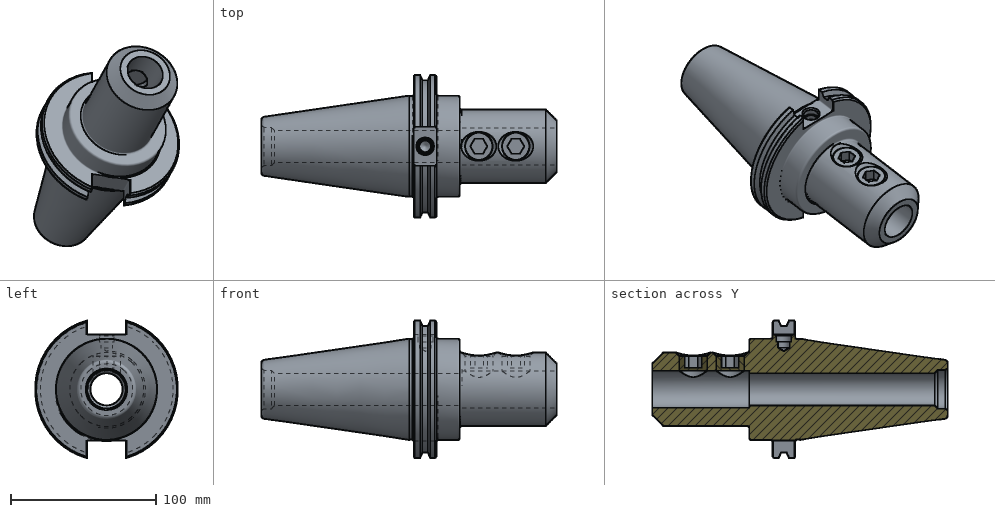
import cadquery as cq
import math


taper_length = 101.6
gauge_diameter = 69.85
taper_ratio = 7 / 24
small_end_diameter = gauge_diameter - taper_length * taper_ratio
small_end_rounding = 2.5
relief_diameter = 69.34

flange_front = 3.175
flange_back = 19.05
flange_diameter = 98.425
flange_front_chamfer = 0.9
flange_back_chamfer = 1.2
front_corner_radius = 1.0
back_corner_radius = 0.8
groove_center = (flange_front + flange_back) / 2
groove_floor_diameter = 91.24
groove_floor_width = 3.7
groove_half_angle = 25

slot_width = 26.78
upper_slot_floor = 37.7
lower_slot_floor = 35.3
slot_floor_rounding = 0.8
slot_edge_chamfer = 0.7

locking_hole_diameter = 10.13
locking_hole_mouth_diameter = 12.2
locking_hole_depth = 5.0
pilot_diameter = 8.0
pilot_depth = 4.0
drill_point_angle = 118

body_diameter = gauge_diameter
body_end = 34.925
body_rounding = 1.5
nose_diameter = 50.8
nose_end = 101.6
nose_chamfer = 7.62
nose_corner_radius = 1.2

through_bore_diameter = 21.97
pilot_bore_diameter = 26.42
pilot_bore_depth = 6.8
pilot_bore_mouth_diameter = 28.6
pilot_bore_mouth_half_angle = 30
tool_bore_diameter = 25.4
tool_bore_start = body_end

screw_diameter = 19.05
screw_positions = (48.0, 73.4)
screw_top = 22.9
screw_chamfer = 0.25
screw_bottom = tool_bore_diameter / 2
socket_across_flats = 10.13
socket_depth = 8.0


def make_outer_body():
    """Taper, flange, body and nose as one turned solid."""
    taper_slope = math.atan(taper_ratio / 2)
    rounding_tangent = small_end_rounding * math.tan((math.pi / 2 - taper_slope) / 2)
    small_end_radius = small_end_diameter / 2
    flange_radius = flange_diameter / 2
    groove_radius = groove_floor_diameter / 2
    groove_rise = flange_radius - groove_radius
    floor_half = groove_floor_width / 2
    mouth_half = floor_half + groove_rise * math.tan(math.radians(groove_half_angle))
    relief_radius = relief_diameter / 2
    body_radius = body_diameter / 2
    nose_radius = nose_diameter / 2
    arc_inset = 1 - math.sqrt(0.5)
    rounding_middle = (math.pi * 3 / 2 + taper_slope) / 2
    profile = (
        cq.Workplane("XY")
        .moveTo(-taper_length, 0)
        .lineTo(-taper_length, small_end_radius - rounding_tangent)
        .threePointArc(
            (
                -taper_length + small_end_rounding * (1 + math.cos(rounding_middle)),
                small_end_radius - rounding_tangent + small_end_rounding * math.sin(rounding_middle),
            ),
            (
                -taper_length + rounding_tangent * math.cos(taper_slope),
                small_end_radius + rounding_tangent * math.sin(taper_slope),
            ),
        )
        .lineTo(0, gauge_diameter / 2)
        .lineTo(0, relief_radius)
        .lineTo(flange_front - front_corner_radius, relief_radius)
        .threePointArc(
            (
                flange_front - front_corner_radius * arc_inset,
                relief_radius + front_corner_radius * arc_inset,
            ),
            (flange_front, relief_radius + front_corner_radius),
        )
        .lineTo(flange_front, flange_radius - flange_front_chamfer)
        .lineTo(flange_front + flange_front_chamfer, flange_radius)
        .lineTo(groove_center - mouth_half, flange_radius)
        .lineTo(groove_center - floor_half, groove_radius)
        .lineTo(groove_center + floor_half, groove_radius)
        .lineTo(groove_center + mouth_half, flange_radius)
        .lineTo(flange_back - flange_back_chamfer, flange_radius)
        .lineTo(flange_back, flange_radius - flange_back_chamfer)
        .lineTo(flange_back, body_radius + back_corner_radius)
        .threePointArc(
            (
                flange_back + back_corner_radius * arc_inset,
                body_radius + back_corner_radius * arc_inset,
            ),
            (flange_back + back_corner_radius, body_radius),
        )
        .lineTo(body_end - body_rounding, body_radius)
        .threePointArc(
            (body_end - body_rounding * arc_inset, body_radius - body_rounding * arc_inset),
            (body_end, body_radius - body_rounding),
        )
        .lineTo(body_end, nose_radius + nose_corner_radius)
        .threePointArc(
            (
                body_end + nose_corner_radius * arc_inset,
                nose_radius + nose_corner_radius * arc_inset,
            ),
            (body_end + nose_corner_radius, nose_radius),
        )
        .lineTo(nose_end - nose_chamfer, nose_radius)
        .lineTo(nose_end, nose_radius - nose_chamfer)
        .lineTo(nose_end, 0)
        .close()
    )
    return profile.revolve(360, (0, 0, 0), (1, 0, 0))


def make_axial_bores():
    """Drawbar bore with its pilot and chamfered mouth, and the tool bore from the nose."""
    through_radius = through_bore_diameter / 2
    pilot_radius = pilot_bore_diameter / 2
    mouth_radius = pilot_bore_mouth_diameter / 2
    tool_radius = tool_bore_diameter / 2
    mouth_length = (mouth_radius - pilot_radius) / math.tan(math.radians(pilot_bore_mouth_half_angle))
    mouth_end = -taper_length + mouth_length
    pilot_end = -taper_length + pilot_bore_depth
    cone_end = pilot_end + pilot_radius - through_radius
    profile = (
        cq.Workplane("XY")
        .moveTo(-taper_length, 0)
        .lineTo(-taper_length, mouth_radius)
        .lineTo(mouth_end, pilot_radius)
        .lineTo(pilot_end, pilot_radius)
        .lineTo(cone_end, through_radius)
        .lineTo(tool_bore_start, through_radius)
        .lineTo(tool_bore_start, tool_radius)
        .lineTo(nose_end, tool_radius)
        .lineTo(nose_end, 0)
        .close()
    )
    return profile.revolve(360, (0, 0, 0), (1, 0, 0))


def make_drive_slot(floor_height):
    """Cutter for a drive slot above the given height, with chamfered wall edges on both flange faces."""
    slot_length = flange_back - flange_front
    slot_height = flange_diameter / 2 - floor_height
    slot = cq.Workplane("XY").box(slot_length, slot_width, slot_height, centered=(False, True, False))
    slot = slot.edges("|X and <Z").fillet(slot_floor_rounding)
    slot_mouth_half = slot_width / 2 + slot_edge_chamfer
    for side in (-1, 1):
        wall = side * slot_width / 2
        edge = side * slot_mouth_half
        front_chamfer = [(0, 0), (0, edge), (slot_edge_chamfer, wall), (slot_edge_chamfer, 0)]
        back_chamfer = [(slot_length - x, y) for x, y in front_chamfer]
        for outline in (front_chamfer, back_chamfer):
            wedge = cq.Workplane("XY").polyline(outline).close().extrude(slot_height)
            slot = slot.union(wedge)
    return slot.translate((flange_front, 0, floor_height))


def make_locking_hole():
    """Threaded hole with a chamfered mouth and a drilled pilot below it."""
    thread_radius = locking_hole_diameter / 2
    mouth_radius = locking_hole_mouth_diameter / 2
    pilot_radius = pilot_diameter / 2
    thread_end = -locking_hole_depth
    pilot_end = thread_end - pilot_depth
    point_height = pilot_radius / math.tan(math.radians(drill_point_angle / 2))
    profile = (
        cq.Workplane("XZ")
        .lineTo(mouth_radius, 0)
        .lineTo(thread_radius, thread_radius - mouth_radius)
        .lineTo(thread_radius, thread_end)
        .lineTo(pilot_radius, thread_end)
        .lineTo(pilot_radius, pilot_end)
        .lineTo(0, pilot_end - point_height)
        .close()
    )
    hole_center = (flange_front + flange_back) / 2
    return profile.revolve(360, (0, 0, 0), (0, 1, 0)).translate((hole_center, 0, upper_slot_floor))


def make_screw_hole(position):
    """Screw hole down to the tool bore, with a 45 degree mouth above the screw."""
    hole_radius = screw_diameter / 2
    mouth_height = nose_diameter / 2 - screw_top
    profile = (
        cq.Workplane("XZ")
        .lineTo(hole_radius, 0)
        .lineTo(hole_radius, screw_top)
        .lineTo(hole_radius + mouth_height, screw_top + mouth_height)
        .lineTo(0, screw_top + mouth_height)
        .close()
    )
    return profile.revolve(360, (0, 0, 0), (0, 1, 0)).translate((position, 0, 0))


def make_holder():
    holder = make_outer_body().cut(make_axial_bores())
    holder = holder.cut(make_drive_slot(upper_slot_floor))
    lower_slot = make_drive_slot(lower_slot_floor).rotate((0, 0, 0), (1, 0, 0), 180)
    holder = holder.cut(lower_slot)
    holder = holder.cut(make_locking_hole())
    for position in screw_positions:
        holder = holder.cut(make_screw_hole(position))
    return holder


def make_lock_screw(position):
    """Flat-ended screw with a hexagon socket, corners toward X."""
    socket_across_corners = socket_across_flats / math.cos(math.pi / 6)
    return (
        cq.Workplane("XY")
        .workplane(offset=screw_bottom)
        .circle(screw_diameter / 2)
        .extrude(screw_top - screw_bottom)
        .edges(">Z")
        .chamfer(screw_chamfer)
        .faces(">Z")
        .workplane()
        .polygon(6, socket_across_corners)
        .cutBlind(-socket_depth)
        .translate((position, 0, 0))
    )


holder = make_holder()
lock_screws = [make_lock_screw(position) for position in screw_positions]

result = cq.Compound.makeCompound([holder.val(), *[screw.val() for screw in lock_screws]])